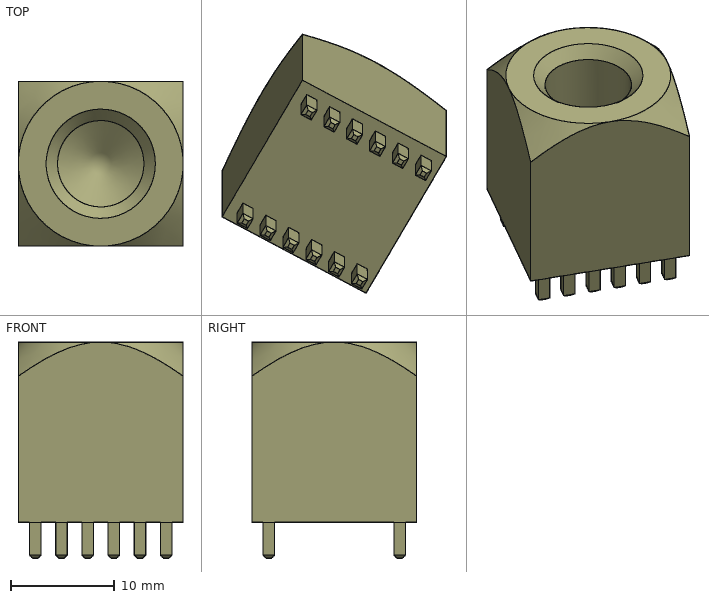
import cadquery as cq
import math

side = 16.0
body_height = 17.5
top_circle_radius = side / 2

hole_radius = 8.38 / 2
mouth_radius = 10.6 / 2
countersink_depth = mouth_radius - hole_radius
hole_depth = 10.0
drill_point_angle = 118.0
drill_point_depth = hole_radius / math.tan(math.radians(drill_point_angle / 2))

pin_width = 1.14
pin_length = 3.5
pin_tip_chamfer = 0.33
pin_pitch = 2.54
pins_per_row = 6
row_spacing = 5 * pin_pitch


def revolve_about_z(profile):
    """Full turn about Z of a closed outline of (radius, height) points."""
    return cq.Workplane("XZ").polyline(profile).close().revolve(360, (0, 0, 0), (0, 1, 0))


def make_body():
    """Square block with its base at Z = 0, trimmed by the cone."""
    block = cq.Workplane("XY").rect(side, side).extrude(body_height)
    base_radius = top_circle_radius + body_height
    cone = revolve_about_z([
        (0, 0),
        (base_radius, 0),
        (top_circle_radius, body_height),
        (0, body_height),
    ])
    return block.intersect(cone)


def make_hole():
    """Solid to remove from the top of the block."""
    wall_bottom = body_height - hole_depth
    return revolve_about_z([
        (0, body_height),
        (mouth_radius, body_height),
        (hole_radius, body_height - countersink_depth),
        (hole_radius, wall_bottom),
        (0, wall_bottom - drill_point_depth),
    ])


def make_pin(x, y):
    """Square pin hanging from Z = 0 with a chamfered tip."""
    return (
        cq.Workplane("XY")
        .center(x, y)
        .rect(pin_width, pin_width)
        .extrude(-pin_length)
        .faces("<Z")
        .chamfer(pin_tip_chamfer)
    )


result = make_body().cut(make_hole())
for row_y in (-row_spacing / 2, row_spacing / 2):
    for index in range(pins_per_row):
        pin_x = (index - (pins_per_row - 1) / 2) * pin_pitch
        result = result.union(make_pin(pin_x, row_y))